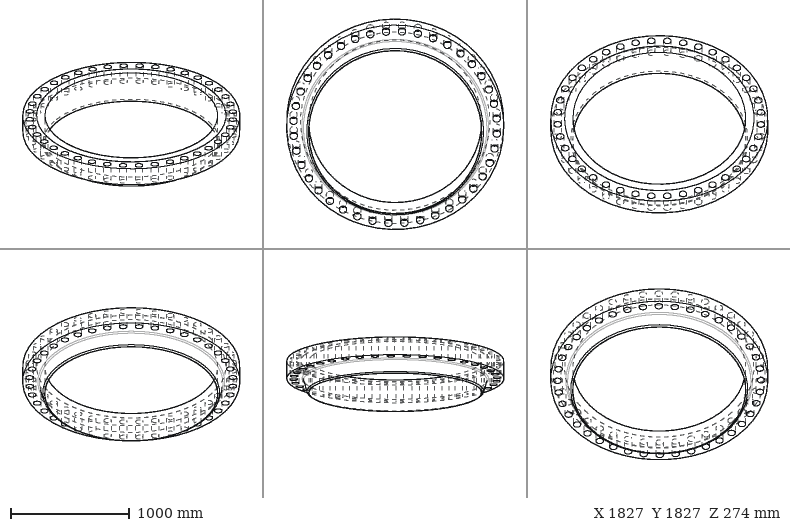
import cadquery as cq

outer_diameter = 1827.0
bore_diameter = 1453.0
total_height = 274.0

plate_bottom = 119.0
raised_face_diameter = 1593.0
raised_face_height = 2.0
plate_top = total_height - raised_face_height

neck_top_diameter = 1550.0
neck_bottom_diameter = 1487.0
neck_fillet_radius = 15.0
bevel_bottom_diameter = 1458.0
bevel_height = 11.0

bolt_count = 40
bolt_circle_diameter = 1714.0
bolt_hole_diameter = 62.0


def flange_body():
    """Revolve the half section of the flange around the Z axis."""
    bore_radius = bore_diameter / 2
    outer_radius = outer_diameter / 2
    raised_face_radius = raised_face_diameter / 2
    section = [
        (bore_radius, 0),
        (bevel_bottom_diameter / 2, 0),
        (neck_bottom_diameter / 2, bevel_height),
        (neck_top_diameter / 2, plate_bottom),
        (outer_radius, plate_bottom),
        (outer_radius, plate_top),
        (raised_face_radius, plate_top),
        (raised_face_radius, total_height),
        (bore_radius, total_height),
    ]
    body = cq.Workplane("XZ").polyline(section).close().revolve(360, (0, 0), (0, 1))
    plate_underside = body.faces("|Z").faces(">Z[1]")
    neck_root = plate_underside.edges(cq.selectors.RadiusNthSelector(0))
    return neck_root.fillet(neck_fillet_radius)


def bolt_holes():
    """Ring of evenly spaced cylinders, the first one on the +X axis."""
    return (
        cq.Workplane("XY")
        .polarArray(bolt_circle_diameter / 2, 0, 360, bolt_count)
        .circle(bolt_hole_diameter / 2)
        .extrude(total_height)
    )


result = flange_body().cut(bolt_holes())